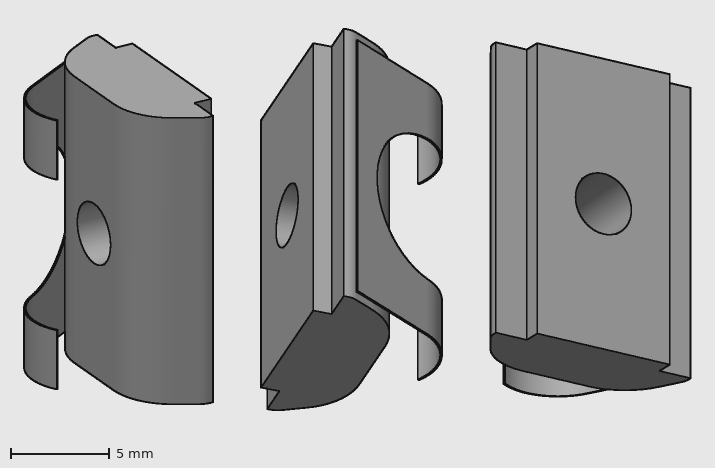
import cadquery as cq
import math

body_length = 16.0
body_width = 11.6
body_depth = 4.6
tenon_width = 7.9
tenon_depth = 1.0
side_end_depth = 1.2
flank_angle = math.radians(60)
side_round_radius = 1.0
nose_round_radius = 3.5
hole_diameter = 3.33

spring_height = 15.0
spring_thickness = 0.1
total_depth = 8.06
bend_outer_radius = 3.1
tip_angle = math.radians(32)
cutout_radius = 4.2
cutout_apex_distance = 1.54

flank_cos = math.cos(flank_angle)
flank_sin = math.sin(flank_angle)
flank_slope = math.tan(flank_angle)

side_round_x = body_width / 2 - side_round_radius
nose_round_y = -body_depth + nose_round_radius
flank_top = (
    side_round_x + side_round_radius * flank_sin,
    -side_end_depth - side_round_radius * flank_cos,
)
flank_bottom_y = nose_round_y - nose_round_radius * flank_cos
flank_bottom = (flank_top[0] - (flank_top[1] - flank_bottom_y) / flank_slope, flank_bottom_y)
nose_half_width = flank_bottom[0] - nose_round_radius * flank_sin


def polar(center, radius, angle):
    """Point on a circle, with the angle measured from -Y towards +X."""
    return (center[0] + radius * math.sin(angle), center[1] - radius * math.cos(angle))


def make_body():
    side_round_center = (side_round_x, -side_end_depth)
    nose_round_center = (nose_half_width, nose_round_y)
    side_round_middle = polar(side_round_center, side_round_radius, (flank_angle + math.pi / 2) / 2)
    nose_round_middle = polar(nose_round_center, nose_round_radius, flank_angle / 2)
    half = (
        cq.Workplane("XY", origin=(0, 0, -body_length / 2))
        .lineTo(tenon_width / 2, 0)
        .lineTo(tenon_width / 2, -tenon_depth)
        .lineTo(body_width / 2, -tenon_depth)
        .lineTo(body_width / 2, -side_end_depth)
        .threePointArc(side_round_middle, flank_top)
        .lineTo(*flank_bottom)
        .threePointArc(nose_round_middle, (nose_half_width, -body_depth))
        .lineTo(0, -body_depth)
        .close()
        .extrude(body_length)
    )
    hole = cq.Workplane("XZ").circle(hole_diameter / 2).extrude(body_depth)
    return half.union(half.mirror("YZ")).cut(hole)


def make_spring():
    bend_inner_radius = bend_outer_radius - spring_thickness
    bend_y = -total_depth + bend_outer_radius
    inner_start = (-flank_top[0], flank_top[1])
    outer_start = (
        inner_start[0] - spring_thickness * flank_sin,
        inner_start[1] - spring_thickness * flank_cos,
    )
    outer_bend_y = bend_y - bend_outer_radius * flank_cos
    outer_bend_x = outer_start[0] + (outer_start[1] - outer_bend_y) / flank_slope
    bend_center = (outer_bend_x + bend_outer_radius * flank_sin, bend_y)
    sheet = (
        cq.Workplane("XY", origin=(0, 0, -spring_height / 2))
        .moveTo(*outer_start)
        .lineTo(outer_bend_x, outer_bend_y)
        .threePointArc(
            polar(bend_center, bend_outer_radius, 0),
            polar(bend_center, bend_outer_radius, tip_angle),
        )
        .lineTo(*polar(bend_center, bend_inner_radius, tip_angle))
        .threePointArc(
            polar(bend_center, bend_inner_radius, 0),
            polar(bend_center, bend_inner_radius, -flank_angle),
        )
        .lineTo(*inner_start)
        .close()
        .extrude(spring_height)
    )
    return sheet.cut(make_cutout(inner_start))


def make_cutout(leaf_start):
    """Round-ended opening square to the leaf, open towards the spring tip."""
    leaf_plane = cq.Plane(
        origin=(leaf_start[0], leaf_start[1], 0),
        xDir=(flank_cos, -flank_sin, 0),
        normal=(flank_sin, flank_cos, 0),
    )
    center_distance = cutout_apex_distance + cutout_radius
    reach = total_depth
    round_end = (
        cq.Workplane(leaf_plane)
        .center(center_distance, 0)
        .circle(cutout_radius)
        .extrude(reach, both=True)
    )
    open_end = (
        cq.Workplane(leaf_plane)
        .center(center_distance + reach / 2, 0)
        .rect(reach, 2 * cutout_radius)
        .extrude(reach, both=True)
    )
    return round_end.union(open_end)


result = make_body().union(make_spring())